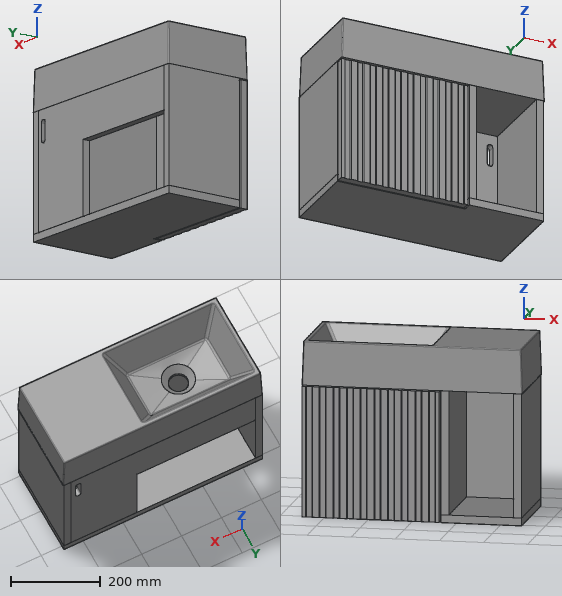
import cadquery as cq
import math

WIDTH = 500.0
DEPTH = 220.0
HEIGHT = 400.0
BASIN_HEIGHT = 100.0

LEFT = -WIDTH / 2
BACK = DEPTH / 2
TOP = HEIGHT / 2
FLOOR = -HEIGHT / 2
BASIN_BASE = TOP - BASIN_HEIGHT

PANEL = 18.0
RIGHT_INSET = 2.0
FRONT_INSET = 1.0
CABINET_LEFT = LEFT
CABINET_RIGHT = -LEFT - RIGHT_INSET
CABINET_FRONT = -BACK + FRONT_INSET
CABINET_BACK = BACK
SHELF_TOP = FLOOR + PANEL
RAIL_HEIGHT = 104.0

DOOR_GAP = 4.0
DOOR_TOP_GAP = 3.0
DOOR_WIDTH = 311.0
GROOVE_COUNT = 10
GROOVE_PITCH = 31.0
GROOVE_FLOOR = 12.0
GROOVE_DEPTH = 2.0
DOOR_BACK = CABINET_FRONT + PANEL
DOOR_RIGHT = CABINET_LEFT + DOOR_WIDTH
CARCASS_FRONT = DOOR_BACK + DOOR_GAP
DIVIDER_LEFT = DOOR_RIGHT + DOOR_GAP
BACK_FRONT = CABINET_BACK - PANEL

SLOT_WIDTH = 13.0
SLOT_HEIGHT = 54.0
SLOT_X = 212.0
SLOT_Z = 49.0

SIDE_DRAFT = 2.0
FRONT_DRAFT = 1.0
RIM_RADIUS = 2.0
BOWL_LENGTH = 282.0
BOWL_WIDTH = 197.0
BOWL_X = -96.0
BOWL_DEPTH = 67.0
BOWL_INSET = 40.0
BOWL_RADIUS = 7.5
DRAIN_RIM_DIAMETER = 76.0
DRAIN_DIAMETER = 45.0
DRAIN_RIM_DEPTH = 77.0
DRAIN_SEAT_DEPTH = 93.0


def block(x0, x1, y0, y1, z0, z1):
    """Rectangular solid between two opposite corners."""
    return cq.Workplane("XY").box(x1 - x0, y1 - y0, z1 - z0, centered=False).translate((x0, y0, z0))


def make_sloped_floor():
    """Solid under the bowl whose lower faces fall from the four straight edges to the drain rim."""
    half_length = BOWL_LENGTH / 2 - BOWL_INSET
    half_width = BOWL_WIDTH / 2 - BOWL_INSET
    rim_radius = DRAIN_RIM_DIAMETER / 2
    corner_angle = math.atan2(half_width, half_length)
    rim_x = rim_radius * math.cos(corner_angle)
    rim_y = rim_radius * math.sin(corner_angle)
    return (
        cq.Workplane("XY", origin=(BOWL_X, 0, TOP - BOWL_DEPTH))
        .rect(2 * half_length, 2 * half_width)
        .workplane(offset=BOWL_DEPTH - DRAIN_RIM_DEPTH)
        .moveTo(-rim_x, -rim_y)
        .threePointArc((0, -rim_radius), (rim_x, -rim_y))
        .threePointArc((rim_radius, 0), (rim_x, rim_y))
        .threePointArc((0, rim_radius), (-rim_x, rim_y))
        .threePointArc((-rim_radius, 0), (-rim_x, -rim_y))
        .close()
        .loft(combine=True, ruled=True)
    )


def make_drain():
    """Tapered drain mouth and the straight bore below it, through the basin's underside."""
    return (
        cq.Workplane("XZ", origin=(BOWL_X, 0, TOP))
        .moveTo(0, -DRAIN_RIM_DEPTH)
        .lineTo(DRAIN_RIM_DIAMETER / 2, -DRAIN_RIM_DEPTH)
        .lineTo(DRAIN_DIAMETER / 2, -DRAIN_SEAT_DEPTH)
        .lineTo(DRAIN_DIAMETER / 2, -BASIN_HEIGHT)
        .lineTo(0, -BASIN_HEIGHT)
        .close()
        .revolve(360, (0, 0), (0, 1))
    )


def make_bowl():
    """Solid that fills the bowl and the drain, for cutting."""
    walls = (
        cq.Workplane("XY", origin=(BOWL_X, 0, TOP))
        .rect(BOWL_LENGTH, BOWL_WIDTH)
        .workplane(offset=-BOWL_DEPTH)
        .rect(BOWL_LENGTH - 2 * BOWL_INSET, BOWL_WIDTH - 2 * BOWL_INSET)
        .loft(combine=True, ruled=True)
    )
    box_low = (LEFT, -BACK, TOP - BOWL_DEPTH - RIM_RADIUS)
    box_high = (-LEFT, BACK, TOP - RIM_RADIUS)
    wall_edges = cq.selectors.BoxSelector(box_low, box_high)
    bowl = walls.union(make_sloped_floor()).edges(wall_edges).fillet(BOWL_RADIUS)
    return bowl.union(make_drain())


def make_basin():
    """Drafted basin block with an offset bowl and softened top and corner edges."""
    side_lean = BASIN_HEIGHT * math.tan(math.radians(SIDE_DRAFT))
    front_lean = BASIN_HEIGHT * math.tan(math.radians(FRONT_DRAFT))
    body = (
        cq.Workplane("XY", origin=(0, 0, BASIN_BASE))
        .rect(WIDTH, DEPTH)
        .workplane(offset=BASIN_HEIGHT)
        .rect(WIDTH - 2 * side_lean, DEPTH - 2 * front_lean)
        .loft(combine=True, ruled=True)
    )
    body = body.edges("not #Z").fillet(RIM_RADIUS)
    return body.cut(make_bowl()).faces(">Z").edges().fillet(RIM_RADIUS)


def make_door():
    """Door panel whose front carries shallow flat-bottomed vertical grooves."""
    door_top = BASIN_BASE - DOOR_TOP_GAP
    door = block(CABINET_LEFT, DOOR_RIGHT, CABINET_FRONT, DOOR_BACK, FLOOR, door_top)
    half_floor = GROOVE_FLOOR / 2
    half_mouth = half_floor + GROOVE_DEPTH
    first_centre = CABINET_LEFT + (DOOR_WIDTH - (GROOVE_COUNT - 1) * GROOVE_PITCH) / 2
    for index in range(GROOVE_COUNT):
        centre = first_centre + index * GROOVE_PITCH
        groove = (
            cq.Workplane("XY", origin=(centre, CABINET_FRONT, FLOOR))
            .polyline([
                (-half_mouth, 0),
                (half_mouth, 0),
                (half_floor, GROOVE_DEPTH),
                (-half_floor, GROOVE_DEPTH),
            ])
            .close()
            .extrude(door_top - FLOOR)
        )
        door = door.cut(groove)
    return door


def make_left_side():
    """Left panel, set back behind the door."""
    return block(CABINET_LEFT, CABINET_LEFT + PANEL, CARCASS_FRONT, CABINET_BACK, SHELF_TOP, BASIN_BASE)


def make_divider():
    """Upright between the door compartment and the open compartment."""
    return block(DIVIDER_LEFT, DIVIDER_LEFT + PANEL, CABINET_FRONT, BACK_FRONT, SHELF_TOP, BASIN_BASE)


def make_right_side():
    """Right panel of the open compartment."""
    return block(CABINET_RIGHT - PANEL, CABINET_RIGHT, CABINET_FRONT, CABINET_BACK, SHELF_TOP, BASIN_BASE)


def make_bottom():
    """Bottom panel, set back behind the door and full depth beside it."""
    behind_door = block(CABINET_LEFT, CABINET_RIGHT, CARCASS_FRONT, CABINET_BACK, FLOOR, SHELF_TOP)
    beside_door = block(DIVIDER_LEFT, CABINET_RIGHT, CABINET_FRONT, CABINET_BACK, FLOOR, SHELF_TOP)
    return behind_door.union(beside_door)


def make_back():
    """Back panel: a high rail on the left, full height with a hand slot on the right."""
    inner_left = CABINET_LEFT + PANEL
    inner_right = CABINET_RIGHT - PANEL
    rail = block(inner_left, inner_right, BACK_FRONT, CABINET_BACK, BASIN_BASE - RAIL_HEIGHT, BASIN_BASE)
    panel = block(DIVIDER_LEFT, inner_right, BACK_FRONT, CABINET_BACK, SHELF_TOP, BASIN_BASE)
    slot = (
        cq.Workplane("XZ", origin=(SLOT_X, CABINET_BACK, SLOT_Z))
        .slot2D(SLOT_HEIGHT, SLOT_WIDTH, 90)
        .extrude(PANEL)
    )
    return rail.union(panel).cut(slot)


basin = make_basin()
door = make_door()
left_side = make_left_side()
divider = make_divider()
right_side = make_right_side()
bottom = make_bottom()
back = make_back()

result = cq.Compound.makeCompound([
    basin.val(),
    door.val(),
    left_side.val(),
    divider.val(),
    right_side.val(),
    bottom.val(),
    back.val(),
])